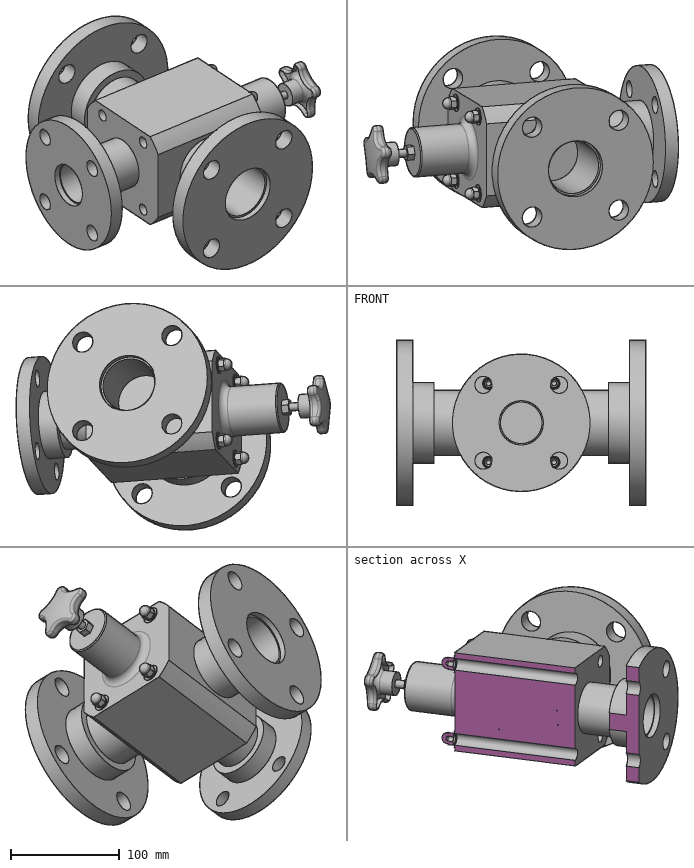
import cadquery as cq
import math


BODY_WIDTH = 105.0
BODY_HEIGHT = 95.2
BODY_CORNER_RADIUS = 62.5
BODY_FRONT_Y = -55.8
BODY_BACK_Y = 64.5

SIDE_FACE_X = 114.7
SIDE_FLANGE_DIAMETER = 152.5
SIDE_FLANGE_THICKNESS = 15.0
SIDE_COLLAR_DIAMETER = 74.5
SIDE_COLLAR_LENGTH = 19.5
SIDE_PIPE_DIAMETER = 60.3
SIDE_BORE_DIAMETER = 49.0
SIDE_MOUTH_DIAMETER = 52.7
SIDE_BOLT_DIAMETER = 19.0
SIDE_BOLT_OFFSET = 42.5

FRONT_FACE_Y = -119.5
FRONT_FLANGE_DIAMETER = 126.7
FRONT_FLANGE_THICKNESS = 12.8
FRONT_COLLAR_DIAMETER = 62.5
FRONT_COLLAR_LENGTH = 17.0
FRONT_PIPE_DIAMETER = 48.0
FRONT_BORE_DIAMETER = 38.2
FRONT_MOUTH_DIAMETER = 40.7
FRONT_BOLT_DIAMETER = 15.5
FRONT_BOLT_OFFSET = 35.0

MOUTH_DEPTH = 5.5

STUD_X = 30.0
STUD_Z = 36.3
STUD_HOLE_DIAMETER = 11.0
WASHER_HOLE_DIAMETER = 9.5
WASHER_DIAMETER = 16.0
WASHER_THICKNESS = 0.5
CAP_HEX_FLATS = 10.5
CAP_HEX_HEIGHT = 5.9
CAP_HEX_CHAMFER = 1.0
CAP_NECK_DIAMETER = CAP_HEX_FLATS
CAP_NECK_HEIGHT = 1.7
CAP_DOME_HEIGHT = 4.7
CAP_BORE_DIAMETER = 4.5
CAP_BORE_DEPTH = 6.7
CAP_COUNTERSINK_DIAMETER = 7.5

BONNET_DIAMETER = 45.8
BONNET_LENGTH = 53.5
BONNET_TOP_CHAMFER = 1.0
BONNET_BASE_FILLET = 6.7
LOCK_NUT_CORNERS = 14.5
LOCK_NUT_HEIGHT = 6.7
STEM_DIAMETER = 7.5

OVERALL_LENGTH = 279.0
HANDLE_TOP_Y = FRONT_FACE_Y + OVERALL_LENGTH
HANDLE_HEIGHT = 12.3
LOBE_COUNT = 5
LOBE_RADIUS = 5.3
LOBE_CENTER_RADIUS = 22.5
VALLEY_RADIUS = 18.5
HANDLE_DOME_RADIUS = 111.5
HANDLE_TOP_FILLET = 2.8
HANDLE_RIM_FILLET = 3.3
HANDLE_WALL = 1.7
HANDLE_RECESS_DEPTH = 5.5
HUB_DIAMETER = 22.0
HUB_LENGTH = 12.3
HUB_FILLET = HANDLE_RECESS_DEPTH

BONNET_TOP_Y = BODY_BACK_Y + BONNET_LENGTH
HANDLE_BASE_Y = HANDLE_TOP_Y - HANDLE_HEIGHT
HUB_BASE_Y = HANDLE_BASE_Y - HUB_LENGTH


def plane_y(y):
    """Work plane across the Y axis, facing +Y, with local y along +Z."""
    return cq.Workplane(cq.Plane(origin=(0, y, 0), xDir=(-1, 0, 0), normal=(0, 1, 0)))


def plane_inward(face_point, inward):
    """Work plane on a flange face that faces into the part."""
    normal = cq.Vector(*inward)
    x_dir = cq.Vector(0, 0, 1).cross(normal) * -1
    return cq.Workplane(cq.Plane(origin=face_point, xDir=x_dir.toTuple(), normal=inward))


def square_pattern(offset_x, offset_y):
    """Four points, one in each quadrant."""
    return [(sx * offset_x, sy * offset_y) for sx in (-1, 1) for sy in (-1, 1)]


def make_body():
    """Rectangular block with rounded long edges and four through holes."""
    length = BODY_BACK_Y - BODY_FRONT_Y
    block = plane_y(BODY_FRONT_Y).rect(BODY_WIDTH, BODY_HEIGHT).extrude(length)
    round_bar = plane_y(BODY_FRONT_Y).circle(BODY_CORNER_RADIUS).extrude(length)
    holes = (
        plane_y(BODY_FRONT_Y)
        .pushPoints(square_pattern(STUD_X, STUD_Z))
        .circle(STUD_HOLE_DIAMETER / 2)
        .extrude(length)
    )
    return block.intersect(round_bar).cut(holes)


def make_pipe(face, length, flange, collar, pipe_diameter, mouth_diameter, bore_diameter, bolts):
    """Flanged pipe running from its face plane to the body, with a bore stopped at the body."""
    flange_diameter, flange_thickness = flange
    collar_diameter, collar_length = collar
    bolt_diameter, bolt_offset = bolts
    pipe = face.circle(pipe_diameter / 2).extrude(length)
    pipe = pipe.union(face.circle(collar_diameter / 2).extrude(flange_thickness + collar_length))
    pipe = pipe.union(face.circle(flange_diameter / 2).extrude(flange_thickness))
    pipe = pipe.cut(face.circle(bore_diameter / 2).extrude(length))
    pipe = pipe.cut(face.circle(mouth_diameter / 2).extrude(MOUTH_DEPTH))
    bolt_holes = (
        face.pushPoints(square_pattern(bolt_offset, bolt_offset))
        .circle(bolt_diameter / 2)
        .extrude(flange_thickness)
    )
    return pipe.cut(bolt_holes)


def make_side_pipe(side):
    return make_pipe(
        face=plane_inward((side * SIDE_FACE_X, 0, 0), (-side, 0, 0)),
        length=SIDE_FACE_X - BODY_WIDTH / 2,
        flange=(SIDE_FLANGE_DIAMETER, SIDE_FLANGE_THICKNESS),
        collar=(SIDE_COLLAR_DIAMETER, SIDE_COLLAR_LENGTH),
        pipe_diameter=SIDE_PIPE_DIAMETER,
        mouth_diameter=SIDE_MOUTH_DIAMETER,
        bore_diameter=SIDE_BORE_DIAMETER,
        bolts=(SIDE_BOLT_DIAMETER, SIDE_BOLT_OFFSET),
    )


def make_front_pipe():
    return make_pipe(
        face=plane_inward((0, FRONT_FACE_Y, 0), (0, 1, 0)),
        length=BODY_FRONT_Y - FRONT_FACE_Y,
        flange=(FRONT_FLANGE_DIAMETER, FRONT_FLANGE_THICKNESS),
        collar=(FRONT_COLLAR_DIAMETER, FRONT_COLLAR_LENGTH),
        pipe_diameter=FRONT_PIPE_DIAMETER,
        mouth_diameter=FRONT_MOUTH_DIAMETER,
        bore_diameter=FRONT_BORE_DIAMETER,
        bolts=(FRONT_BOLT_DIAMETER, FRONT_BOLT_OFFSET),
    )


def make_cap_nut():
    """Washer and domed nut along +Z, standing on the XY plane, hex corners along Y."""
    hex_corners = CAP_HEX_FLATS / math.cos(math.pi / 6)
    hex_top = WASHER_THICKNESS + CAP_HEX_HEIGHT
    neck_top = hex_top + CAP_NECK_HEIGHT
    neck_radius = CAP_NECK_DIAMETER / 2
    dome_radius = (neck_radius**2 + CAP_DOME_HEIGHT**2) / (2 * CAP_DOME_HEIGHT)

    washer = cq.Workplane("XY").circle(WASHER_DIAMETER / 2).circle(WASHER_HOLE_DIAMETER / 2)
    washer = washer.extrude(WASHER_THICKNESS)
    hexagon = cq.Workplane("XY", origin=(0, 0, WASHER_THICKNESS)).transformed(rotate=(0, 0, 90))
    hexagon = hexagon.polygon(6, hex_corners).extrude(CAP_HEX_HEIGHT)
    chamfered_bar = cq.Workplane("XY", origin=(0, 0, WASHER_THICKNESS)).circle(hex_corners / 2)
    chamfered_bar = chamfered_bar.extrude(CAP_HEX_HEIGHT).faces("<Z").chamfer(CAP_HEX_CHAMFER)
    dome = (
        cq.Workplane("XZ")
        .moveTo(0, hex_top)
        .lineTo(neck_radius, hex_top)
        .lineTo(neck_radius, neck_top)
        .radiusArc((0, neck_top + CAP_DOME_HEIGHT), -dome_radius)
        .close()
        .revolve(360, (0, 0, 0), (0, 1, 0))
    )
    bore_radius = CAP_BORE_DIAMETER / 2
    countersink_radius = CAP_COUNTERSINK_DIAMETER / 2
    countersink_end = WASHER_THICKNESS + countersink_radius - bore_radius
    bore_end = WASHER_THICKNESS + CAP_BORE_DEPTH
    bore = (
        cq.Workplane("XZ")
        .moveTo(0, WASHER_THICKNESS)
        .lineTo(countersink_radius, WASHER_THICKNESS)
        .lineTo(bore_radius, countersink_end)
        .lineTo(bore_radius, bore_end)
        .lineTo(0, bore_end + bore_radius * math.tan(math.pi / 6))
        .close()
        .revolve(360, (0, 0, 0), (0, 1, 0))
    )
    return hexagon.intersect(chamfered_bar).union(dome).cut(bore).union(washer)


def make_bonnet():
    """Bonnet with a flared foot, lock nut and stem."""
    radius = BONNET_DIAMETER / 2
    bonnet = plane_y(BODY_BACK_Y).circle(radius).extrude(BONNET_LENGTH)
    bonnet = bonnet.faces(">Y").chamfer(BONNET_TOP_CHAMFER)
    flare = (
        cq.Workplane("XY")
        .moveTo(0, BODY_BACK_Y)
        .lineTo(radius + BONNET_BASE_FILLET, BODY_BACK_Y)
        .radiusArc((radius, BODY_BACK_Y + BONNET_BASE_FILLET), BONNET_BASE_FILLET)
        .lineTo(0, BODY_BACK_Y + BONNET_BASE_FILLET)
        .close()
        .revolve(360, (0, 0, 0), (0, 1, 0))
    )
    lock_nut = plane_y(BONNET_TOP_Y).polygon(6, LOCK_NUT_CORNERS).extrude(LOCK_NUT_HEIGHT)
    stem = plane_y(BONNET_TOP_Y).circle(STEM_DIAMETER / 2).extrude(HUB_BASE_Y - BONNET_TOP_Y)
    return bonnet.union(flare).union(lock_nut).union(stem)


def polar(radius, angle):
    return (radius * math.cos(angle), radius * math.sin(angle))


def star_outline(plane, inset):
    """Closed star of round lobes and tangent hollow valleys, moved inward by inset."""
    half_pitch = math.pi / LOBE_COUNT
    tip = LOBE_RADIUS - inset
    valley = VALLEY_RADIUS - inset
    lobe_along = LOBE_CENTER_RADIUS * math.cos(half_pitch)
    lobe_across = LOBE_CENTER_RADIUS * math.sin(half_pitch)
    valley_arc = ((valley - lobe_along) ** 2 + lobe_across**2 - tip**2) / (2 * (lobe_along + tip - valley))
    valley_center = valley + valley_arc
    reach = tip / (tip + valley_arc)
    touch_along = lobe_along + reach * (valley_center - lobe_along)
    touch_across = lobe_across * (1 - reach)
    touch_radius = math.hypot(touch_along, touch_across)
    touch_angle = math.atan2(touch_across, touch_along)

    first_lobe = math.pi / 2
    outline = plane.moveTo(*polar(touch_radius, first_lobe - half_pitch + touch_angle))
    for index in range(LOBE_COUNT):
        lobe = first_lobe + index * 2 * half_pitch
        middle = lobe + half_pitch
        outline = outline.threePointArc(
            polar(LOBE_CENTER_RADIUS + tip, lobe), polar(touch_radius, middle - touch_angle)
        )
        outline = outline.threePointArc(polar(valley, middle), polar(touch_radius, middle + touch_angle))
    return outline.close()


def make_handle():
    """Domed star handle, hollow underneath, on a round hub that flares into the recess."""
    star = star_outline(plane_y(HANDLE_BASE_Y), 0).extrude(HANDLE_HEIGHT)
    blank_radius = LOBE_CENTER_RADIUS + 2 * LOBE_RADIUS
    dome_drop = HANDLE_DOME_RADIUS - math.sqrt(HANDLE_DOME_RADIUS**2 - blank_radius**2)
    domed_blank = (
        cq.Workplane("XY")
        .moveTo(0, HANDLE_BASE_Y)
        .lineTo(blank_radius, HANDLE_BASE_Y)
        .lineTo(blank_radius, HANDLE_TOP_Y - dome_drop)
        .radiusArc((0, HANDLE_TOP_Y), -HANDLE_DOME_RADIUS)
        .close()
        .revolve(360, (0, 0, 0), (0, 1, 0))
    )
    star = star.intersect(domed_blank)
    star = star.faces("<Y").edges().fillet(HANDLE_RIM_FILLET)
    star = star.faces("not #Y").faces(">Y").edges().fillet(HANDLE_TOP_FILLET)
    recess = star_outline(plane_y(HANDLE_BASE_Y), HANDLE_WALL).extrude(HANDLE_RECESS_DEPTH)
    star = star.cut(recess)

    hub_radius = HUB_DIAMETER / 2
    hub = plane_y(HUB_BASE_Y).circle(hub_radius).extrude(HUB_LENGTH + HANDLE_RECESS_DEPTH)
    floor_y = HANDLE_BASE_Y + HANDLE_RECESS_DEPTH
    flare = (
        cq.Workplane("XY")
        .moveTo(0, floor_y)
        .lineTo(hub_radius + HUB_FILLET, floor_y)
        .radiusArc((hub_radius, floor_y - HUB_FILLET), -HUB_FILLET)
        .lineTo(0, floor_y - HUB_FILLET)
        .close()
        .revolve(360, (0, 0, 0), (0, 1, 0))
    )
    return star.union(hub).union(flare)


result = make_body()
for side in (-1, 1):
    result = result.union(make_side_pipe(side))
result = result.union(make_front_pipe())
result = result.union(make_bonnet())
result = result.union(make_handle())
cap_nut = make_cap_nut().rotate((0, 0, 0), (1, 0, 0), -90)
for nut_x, nut_z in square_pattern(STUD_X, STUD_Z):
    result = result.union(cap_nut.translate((nut_x, BODY_BACK_Y, nut_z)))